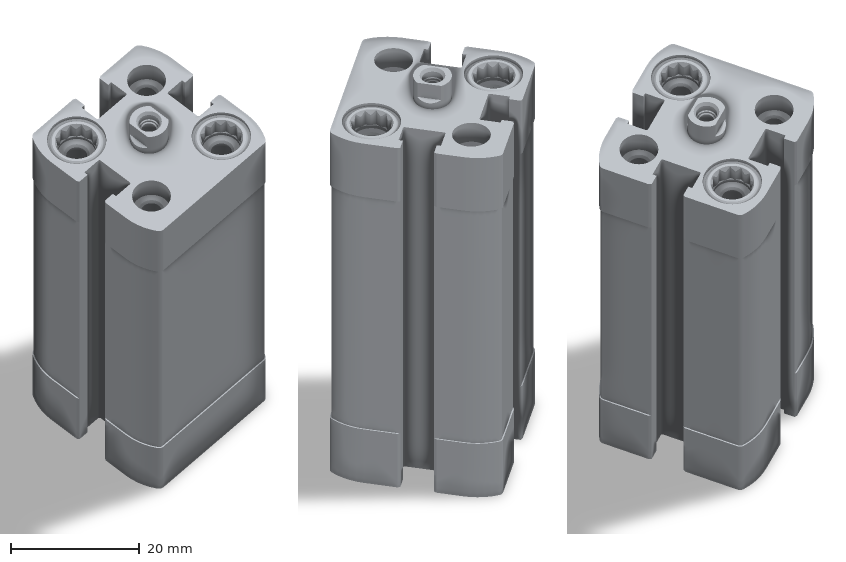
import cadquery as cq
import math


total_height = 70.95
rod_projection = 4.3
housing_height = total_height - rod_projection
cap_height = 10.5

width = 27.5
corner_arc_radius = 10.3
edge_round = 1.0
barrel_inset = 0.2

slot_shift = 0.6
slots = [(0, -slot_shift), (90, slot_shift), (180, -slot_shift)]
slot_mouth_width = 5.4
slot_inner_width = 6.75
slot_lip_depth = 2.05
slot_depth = 5.45
slot_corner_round = 0.3
slot_flare = 0.4

hole_offset = 7.95
hole_diameter = 3.25
hole_chamfer_diameter = 4.0
counterbore_diameter = 6.0
counterbore_depth = 3.7

collar_recess_diameter = 9.2
collar_diameter = 8.5
collar_recess_depth = 0.65
collar_rim_diameter = 7.7
collar_rim_depth = 0.3
socket_points = 12
socket_inner_radius = counterbore_diameter / 2
socket_half_pitch = math.pi / socket_points
socket_point_radius = socket_inner_radius * math.cos(socket_half_pitch) / math.cos(2 * socket_half_pitch)
socket_depth = 3.1
socket_lead_in_diameter = 6.8
socket_lead_in_depth = 1.1

rod_diameter = 6.0
rod_flat_width = 4.7
rod_flat_length = 2.8
rod_flat_runout = 0.4
rod_insertion = cap_height
rod_bore_diameter = 3.3
rod_bore_depth = 1.6
rod_bore_chamfer_diameter = 4.0
rod_bore_chamfer_depth = 0.6
rod_step_diameter = 2.85
rod_step_depth = 2.0
rod_drill_diameter = 2.3
rod_drill_depth = 5.7
drill_tip_angle = 118.0


def outline_prism(inset, bottom, height):
    """Housing outline moved inward by inset, extruded upward from the level bottom."""
    half = width / 2 - inset
    arc_radius = corner_arc_radius - inset
    arc_center_y = width / 2 - corner_arc_radius
    arc_start = hole_offset
    corner_y = arc_center_y + math.sqrt(arc_radius**2 - (half - arc_start) ** 2)
    return (
        cq.Workplane("XY", origin=(0, 0, bottom))
        .moveTo(-arc_start, half)
        .lineTo(arc_start, half)
        .radiusArc((half, corner_y), arc_radius)
        .lineTo(half, -corner_y)
        .radiusArc((arc_start, -half), arc_radius)
        .lineTo(-arc_start, -half)
        .radiusArc((-half, -corner_y), arc_radius)
        .lineTo(-half, corner_y)
        .radiusArc((-arc_start, half), arc_radius)
        .close()
        .extrude(height)
        .edges("|Z")
        .edges("<X or >X")
        .fillet(edge_round - inset)
    )


def slot_cutter(angle, shift):
    """Full-height T-slot opening toward +Y, shifted along X and then turned about Z."""
    face = width / 2
    floor = face - slot_depth
    mouth_half = slot_mouth_width / 2
    mouth = (
        cq.Workplane("XY")
        .moveTo(-mouth_half - slot_flare, face)
        .lineTo(-mouth_half, face - barrel_inset)
        .lineTo(-mouth_half, floor)
        .lineTo(mouth_half, floor)
        .lineTo(mouth_half, face - barrel_inset)
        .lineTo(mouth_half + slot_flare, face)
        .close()
        .extrude(housing_height)
    )
    inner_length = slot_depth - slot_lip_depth
    inner = (
        cq.Workplane("XY")
        .center(0, floor + inner_length / 2)
        .rect(slot_inner_width, inner_length)
        .extrude(housing_height)
        .edges("|Z and <Y")
        .fillet(slot_corner_round)
    )
    return mouth.union(inner).translate((shift, 0, 0)).rotate((0, 0, 0), (0, 0, 1), angle)


def cylinder_below(diameter, top, depth):
    """Cylinder about Z that reaches down from the level top."""
    return cq.Workplane("XY", origin=(0, 0, top - depth)).circle(diameter / 2).extrude(depth)


def cone_below(top_diameter, bottom_diameter, top, depth):
    """Cone frustum about Z that reaches down from the level top."""
    cone = cq.Solid.makeCone(bottom_diameter / 2, top_diameter / 2, depth, cq.Vector(0, 0, top - depth))
    return cq.Workplane(cone)


def mounting_bore_cutter():
    """Through hole with a chamfered mouth at the floor of the counterbore."""
    floor = housing_height - counterbore_depth
    chamfer_depth = (hole_chamfer_diameter - hole_diameter) / 2
    hole = cylinder_below(hole_diameter, floor, floor)
    return hole.union(cone_below(hole_chamfer_diameter, hole_diameter, floor, chamfer_depth))


def socket_cutter():
    """Twelve-point socket: two hexagons, one turned by half a side."""
    bottom = housing_height - socket_depth
    hexagon = (
        cq.Workplane("XY", origin=(0, 0, bottom))
        .polygon(socket_points // 2, 2 * socket_point_radius)
        .extrude(socket_depth)
    )
    return hexagon.union(hexagon.rotate((0, 0, 0), (0, 0, 1), 360 / socket_points))


def collar_cutter():
    """Recess that leaves a bevelled collar standing around a twelve-point socket."""
    rim_level = housing_height - collar_rim_depth
    bevel_depth = collar_recess_depth - collar_rim_depth
    collar = cone_below(collar_rim_diameter, collar_diameter, rim_level, bevel_depth)
    recess = cylinder_below(collar_recess_diameter, housing_height, collar_recess_depth).cut(collar)
    lead_in = cone_below(
        socket_lead_in_diameter,
        counterbore_diameter,
        rim_level,
        socket_lead_in_depth - collar_rim_depth,
    )
    opening = cylinder_below(collar_rim_diameter, housing_height, collar_rim_depth)
    return recess.union(opening).union(lead_in).union(socket_cutter())


def make_housing():
    """Extruded barrel with wider end caps, slotted and drilled; includes the recess for the rod."""
    housing = outline_prism(barrel_inset, 0, housing_height)
    for cap_bottom in (0, housing_height - cap_height):
        housing = housing.union(outline_prism(0, cap_bottom, cap_height))
    for angle, shift in slots:
        housing = housing.cut(slot_cutter(angle, shift))

    counterbore = cylinder_below(counterbore_diameter, housing_height, counterbore_depth)
    bore = mounting_bore_cutter()
    collar = collar_cutter()
    for x_side in (-1, 1):
        for y_side in (-1, 1):
            position = (x_side * hole_offset, y_side * hole_offset, 0)
            housing = housing.cut(counterbore.translate(position)).cut(bore.translate(position))
            if x_side == y_side:
                housing = housing.cut(collar.translate(position))

    return housing.cut(cylinder_below(rod_diameter, housing_height, rod_insertion))


def wrench_flat_cutter():
    """Material removed from the +Y side of the rod: a flat that ends in a sloping shoulder."""
    flat = rod_flat_width / 2
    outside = rod_diameter / 2
    shoulder = total_height - rod_flat_length
    return (
        cq.Workplane("YZ", origin=(-outside, 0, 0))
        .moveTo(flat, total_height)
        .lineTo(flat, shoulder)
        .lineTo(outside, shoulder - rod_flat_runout)
        .lineTo(outside, total_height)
        .close()
        .extrude(rod_diameter)
    )


def make_rod():
    """Piston rod with two wrench flats and a stepped blind bore in its end."""
    rod = cylinder_below(rod_diameter, total_height, rod_projection + rod_insertion)
    flat = wrench_flat_cutter()
    rod = rod.cut(flat).cut(flat.mirror("XZ"))

    drill_radius = rod_drill_diameter / 2
    tip_height = drill_radius / math.tan(math.radians(drill_tip_angle / 2))
    rod = rod.cut(
        cone_below(rod_bore_chamfer_diameter, rod_bore_diameter, total_height, rod_bore_chamfer_depth)
    )
    for diameter, depth in (
        (rod_bore_diameter, rod_bore_depth),
        (rod_step_diameter, rod_step_depth),
        (rod_drill_diameter, rod_drill_depth),
    ):
        rod = rod.cut(cylinder_below(diameter, total_height, depth))
    return rod.cut(cone_below(rod_drill_diameter, 0, total_height - rod_drill_depth, tip_height))


housing = make_housing()
rod = make_rod()

result = cq.Compound.makeCompound([housing.val(), rod.val()])